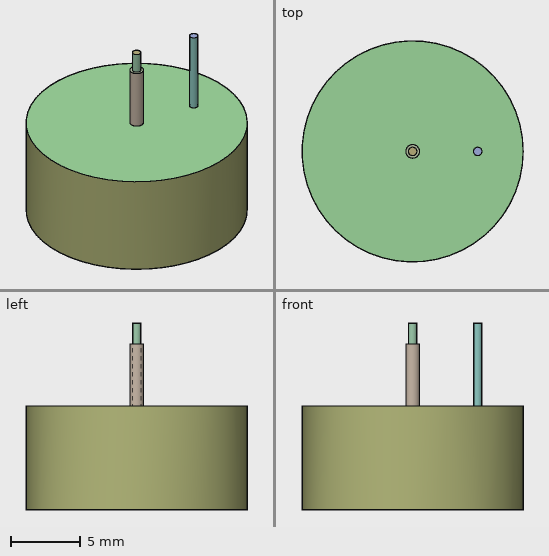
import cadquery as cq

body_diameter = 16
body_height = 7.5

lead_diameter = 0.6
lead_height = 6.0
side_lead_offset = 4.7

sleeve_diameter = 1.0
sleeve_height = 4.5


def post_on_body(x, diameter, height):
    """Upright round post, running from the base of the body to a height above its top face."""
    return cq.Workplane("XY").center(x, 0).circle(diameter / 2).extrude(body_height + height)


body = cq.Workplane("XY").circle(body_diameter / 2).extrude(body_height)
center_lead = post_on_body(0, lead_diameter, lead_height)
sleeve = post_on_body(0, sleeve_diameter, sleeve_height)
side_lead = post_on_body(side_lead_offset, lead_diameter, lead_height)

result = body.union(sleeve).union(center_lead).union(side_lead)